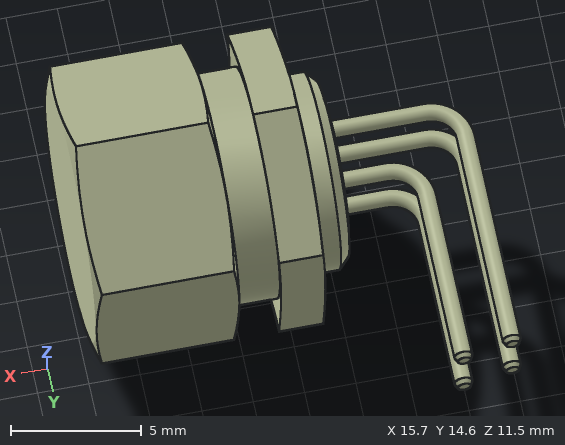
import cadquery as cq
import math


INSERT_X = 5.42
SLEEVE_X = 5.53
NUT_X = 6.67
HEAD_X = 10.12
END_X = 15.72

INSERT_DIAMETER = 5.6
SLEEVE_DIAMETER = 7.7
SLEEVE_CHAMFER = 0.41
NECK_DIAMETER = 9.0

ACROSS_FLATS = 10.0
ACROSS_CORNERS = ACROSS_FLATS / math.cos(math.pi / 6)

HEAD_FACE_DIAMETER = 9.87
HEAD_CHAMFER_ANGLE = 15.0

NUT_FACE_DIAMETER = SLEEVE_DIAMETER
NUT_THICKNESS = 1.73
NUT_DISH_ANGLE = 6.0

PIN_DIAMETER = 0.7
PIN_OFFSET = 1.1
PIN_BEND_RADIUS = 1.34
PIN_TIP_LENGTH = 0.2
PIN_TIP_DIAMETER = 0.5
OVERALL_WIDTH = 14.6
PIN_END_STEP = 0.33
PIN_X_SPACING = 1.95
LONG_PIN_X = PIN_DIAMETER / 2
SHORT_PIN_X = LONG_PIN_X + PIN_X_SPACING
SHORT_PIN_END_Y = OVERALL_WIDTH - ACROSS_FLATS / 2
LONG_PIN_END_Y = SHORT_PIN_END_Y - PIN_END_STEP


def cylinder(start_x, end_x, diameter):
    """Solid cylinder on the body axis."""
    return cq.Workplane("YZ", origin=(start_x, 0, 0)).circle(diameter / 2).extrude(end_x - start_x)


def hexagon(start_x, end_x):
    """Hexagonal prism on the body axis, with its corners on the Z axis."""
    profile = cq.Workplane("YZ", origin=(start_x, 0, 0)).transformed(rotate=(0, 0, 90))
    return profile.polygon(6, ACROSS_CORNERS).extrude(end_x - start_x)


def turned(points):
    """Solid of revolution about the body axis from (x, radius) points."""
    return cq.Workplane("XY").polyline(points).close().revolve(360, (0, 0, 0), (1, 0, 0))


def make_head():
    face_radius = HEAD_FACE_DIAMETER / 2
    corner_radius = ACROSS_CORNERS / 2
    depth = (corner_radius - face_radius) * math.tan(math.radians(HEAD_CHAMFER_ANGLE))
    envelope = turned([
        (HEAD_X, 0),
        (HEAD_X, face_radius),
        (HEAD_X + depth, corner_radius),
        (END_X - depth, corner_radius),
        (END_X, face_radius),
        (END_X, 0),
    ])
    return hexagon(HEAD_X, END_X).intersect(envelope)


def make_lock_nut():
    face_radius = NUT_FACE_DIAMETER / 2
    corner_radius = ACROSS_CORNERS / 2
    lean = (corner_radius - face_radius) * math.tan(math.radians(NUT_DISH_ANGLE))
    rear_x = NUT_X + NUT_THICKNESS
    envelope = turned([
        (NUT_X, 0),
        (NUT_X, face_radius),
        (NUT_X + lean, corner_radius),
        (rear_x + lean, corner_radius),
        (rear_x, face_radius),
        (rear_x, 0),
    ])
    return hexagon(NUT_X, rear_x + lean).intersect(envelope)


def make_pin(centre_x, row_y, end_y, z):
    """Pin from the insert face along -X, bent to run along +Y, with a tapered tip."""
    shoulder_y = end_y - PIN_TIP_LENGTH
    bend_shift = PIN_BEND_RADIUS * (1 - math.sqrt(0.5))
    path = (
        cq.Workplane("XY", origin=(0, 0, z))
        .moveTo(SLEEVE_X, row_y)
        .lineTo(centre_x + PIN_BEND_RADIUS, row_y)
        .threePointArc(
            (centre_x + bend_shift, row_y + bend_shift),
            (centre_x, row_y + PIN_BEND_RADIUS),
        )
        .lineTo(centre_x, shoulder_y)
    )
    wire = cq.Workplane("YZ", origin=(SLEEVE_X, row_y, z)).circle(PIN_DIAMETER / 2).sweep(path)
    tip = cq.Solid.makeCone(
        PIN_DIAMETER / 2,
        PIN_TIP_DIAMETER / 2,
        PIN_TIP_LENGTH,
        pnt=cq.Vector(centre_x, shoulder_y, z),
        dir=cq.Vector(0, 1, 0),
    )
    return wire.union(cq.Workplane(obj=tip))


insert = cylinder(INSERT_X, NUT_X, INSERT_DIAMETER)
sleeve = cylinder(SLEEVE_X, HEAD_X, SLEEVE_DIAMETER).faces("<X").chamfer(SLEEVE_CHAMFER)
neck = cylinder(NUT_X + NUT_THICKNESS / 2, HEAD_X, NECK_DIAMETER)
result = make_head().union(neck).union(sleeve).union(insert).union(make_lock_nut())

for pin_z in (-PIN_OFFSET, PIN_OFFSET):
    result = result.union(make_pin(LONG_PIN_X, -PIN_OFFSET, LONG_PIN_END_Y, pin_z))
    result = result.union(make_pin(SHORT_PIN_X, PIN_OFFSET, SHORT_PIN_END_Y, pin_z))